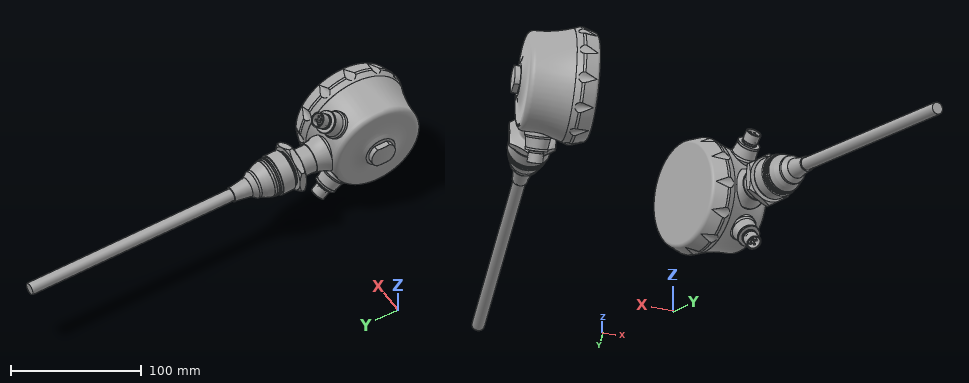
import cadquery as cq
import math


back_x = -19.3
back_flat_radius = 34.0
back_fillet = 4.7
body_radius = back_flat_radius + back_fillet
body_start_x = back_x + back_fillet
seam_x = 15.1
seam_radius = 43.75

seat_foot_radius = 25.6
seat_top_radius = 12.9
seat_top_x = -22.7
seat_ring_radius = 16.1
seat_ring_x = -21.2
button_radius = 10.6
button_flat_half_width = 9.1
button_rim_x = -27.1
button_crown_x = -28.05

lid_peak_radius = 45.5
lid_peak_start_x = 20.2
lid_peak_end_x = 22.3
lid_edge_x = 31.8
lid_edge_radius = 42.3
lid_end_x = 34.0
lid_slope = math.atan2(lid_peak_radius - lid_edge_radius, lid_edge_x - lid_peak_end_x)
lid_end_fillet = (lid_end_x - lid_edge_x) / (1 - math.sin(lid_slope))

notch_count = 12
notch_floor_start = (17.2, 44.4)
notch_tip_lift = 0.05
notch_half_angle = 30.0
notch_length = 22.0

neck_root_y = 20.0
flare_radius = 15.7
flare_start_y = 38.3
flare_top_radius = 12.1
neck_base_radius = 11.3
neck_radius = 11.1
neck_start_y = 50.0
neck_end_y = 59.5
neck_fillet = 1.8
hex_underside_angle = 20.0
hex_start_y = 63.3
hex_end_y = 69.3
hex_across_flats = 36.0
hex_chamfer = 1.6
collar_start_y = 70.4
collar_end_y = 82.8
collar_radius = 16.5
collar_chamfer = 1.8
collar_groove_radius = 14.2
band_radius = 15.3
band_end_y = 87.5
band_groove_radius = 14.5
band_groove_start_y = 84.2
band_groove_end_y = 85.6
step_radius = 14.7
taper_points = [(15.0, 89.6), (13.2, 94.8), (11.1, 98.9), (11.1, 101.0), (7.9, 105.3)]
tip_sleeve_radius = 6.0
tip_sleeve_start_y = 117.7
tip_sleeve_end_y = 119.8
rod_radius = 5.0
rod_end_y = 300.62
rod_tip_length = 2.0
rod_tip_chamfer = 0.3

connector_x = -2.1
connector_angle = 45.0
connector_root = 30.0
connector_tip = 61.83
plug_radius = 6.0
plug_groove_end = 54.2
plug_groove_radius = 5.5
flange_start = 50.5
flange_end = 52.3
plug_groove_start = flange_end + 0.6
flange_radius = 8.9
barrel_radius = 8.6
barrel_base_radius = 9.75
barrel_start = 42.4
boss_radius = 10.8
boss_end = 40.8
socket_radius = 5.0
socket_depth = 6.0
pin_radius = 0.82
pin_circle_radius = 2.5
pin_count = 4
pin_start_angle = 45.0
pin_length = 5.0


def revolve_about_x(outline):
    """Turn a closed outline, drawn with x along the axis and y as radius, about X."""
    return outline.revolve(360, (0, 0, 0), (1, 0, 0))


def revolve_about_y(outline):
    """Turn a closed outline, drawn with x as radius and y along the axis, about Y."""
    return outline.revolve(360, (0, 0, 0), (0, 1, 0))


def make_head():
    """Bowl with a curved wall, a rounded back edge and a dished seat for the button."""
    wall_run = seam_x - body_start_x
    wall_rise = seam_radius - body_radius
    wall_arc_radius = (wall_run**2 + wall_rise**2) / (2 * wall_rise)
    mid_x = body_start_x + wall_run / 2
    mid_radius = body_radius + wall_arc_radius - math.sqrt(wall_arc_radius**2 - (wall_run / 2) ** 2)
    diagonal = back_fillet * math.sqrt(0.5)
    seat_run = seat_foot_radius - seat_ring_radius
    seat_rise = back_x - seat_ring_x
    seat_arc_radius = (seat_run**2 + seat_rise**2) / (2 * seat_rise)
    seat_mid_radius = seat_foot_radius - seat_run / 2
    seat_mid_x = back_x - seat_arc_radius + math.sqrt(seat_arc_radius**2 - (seat_run / 2) ** 2)
    outline = (
        cq.Workplane("XY")
        .moveTo(seat_top_x, 0)
        .lineTo(seat_top_x, seat_top_radius)
        .lineTo(seat_ring_x, seat_ring_radius)
        .threePointArc((seat_mid_x, seat_mid_radius), (back_x, seat_foot_radius))
        .lineTo(back_x, back_flat_radius)
        .threePointArc(
            (body_start_x - diagonal, back_flat_radius + diagonal),
            (body_start_x, body_radius),
        )
        .threePointArc((mid_x, mid_radius), (seam_x, seam_radius))
        .lineTo(seam_x, 0)
        .close()
    )
    return revolve_about_x(outline)


def make_button():
    """Domed button with two flats."""
    crown_rise = button_rim_x - button_crown_x
    crown_radius = (button_radius**2 + crown_rise**2) / (2 * crown_rise)
    mid_radius = button_radius / 2
    mid_x = button_crown_x + crown_radius - math.sqrt(crown_radius**2 - mid_radius**2)
    outline = (
        cq.Workplane("XY")
        .moveTo(back_x, 0)
        .lineTo(back_x, button_radius)
        .lineTo(button_rim_x, button_radius)
        .threePointArc((mid_x, mid_radius), (button_crown_x, 0))
        .close()
    )
    block_length = 2 * (back_x - button_crown_x)
    block = cq.Workplane("XY").box(block_length, 2 * button_radius, 2 * button_flat_half_width)
    return revolve_about_x(outline).intersect(block.translate((back_x, 0, 0)))


def make_neck_and_probe():
    """Flared neck, collar, tapered rings and the long rod."""
    fillet_sweep = math.radians(90 - hex_underside_angle)

    def fillet_point(angle):
        return (
            neck_radius + neck_fillet * (1 - math.cos(angle)),
            neck_end_y + neck_fillet * math.sin(angle),
        )

    flare_run = neck_start_y - flare_start_y
    flare_rise = flare_radius - flare_top_radius
    flare_arc = (flare_run**2 + flare_rise**2) / (2 * flare_rise)
    flare_mid_y = neck_start_y - flare_run / 2
    flare_mid_radius = flare_top_radius + flare_arc - math.sqrt(flare_arc**2 - (flare_run / 2) ** 2)
    outline = (
        cq.Workplane("XY")
        .moveTo(0, neck_root_y)
        .lineTo(flare_radius, neck_root_y)
        .lineTo(flare_radius, flare_start_y)
        .threePointArc((flare_mid_radius, flare_mid_y), (flare_top_radius, neck_start_y))
        .lineTo(neck_base_radius, neck_start_y)
        .lineTo(neck_radius, neck_end_y)
        .threePointArc(
            fillet_point(fillet_sweep / 2),
            fillet_point(fillet_sweep),
        )
        .lineTo(hex_across_flats / 2, hex_start_y)
        .lineTo(hex_across_flats / 2, hex_end_y)
        .lineTo(collar_groove_radius, hex_end_y)
        .lineTo(collar_groove_radius, collar_start_y)
        .lineTo(collar_radius - collar_chamfer, collar_start_y)
        .lineTo(collar_radius, collar_start_y + collar_chamfer)
        .lineTo(collar_radius, collar_end_y)
        .lineTo(band_radius, collar_end_y)
        .lineTo(band_radius, band_groove_start_y)
        .lineTo(band_groove_radius, band_groove_start_y)
        .lineTo(band_groove_radius, band_groove_end_y)
        .lineTo(band_radius, band_groove_end_y)
        .lineTo(band_radius, band_end_y)
        .lineTo(step_radius, band_end_y)
        .lineTo(step_radius, taper_points[0][1])
        .polyline(taper_points, includeCurrent=True)
        .lineTo(tip_sleeve_radius, tip_sleeve_start_y)
        .lineTo(tip_sleeve_radius, tip_sleeve_end_y)
        .lineTo(rod_radius, tip_sleeve_end_y)
        .lineTo(rod_radius, rod_end_y - rod_tip_length)
        .lineTo(rod_radius - rod_tip_chamfer, rod_end_y)
        .lineTo(0, rod_end_y)
        .close()
    )
    return revolve_about_y(outline)


def make_hex():
    """Hexagon with corners pointing along Z and both ends chamfered."""
    corner_radius = hex_across_flats / math.sqrt(3)
    prism = (
        cq.Workplane("XZ", origin=(0, hex_start_y, 0))
        .transformed(rotate=(0, 0, 90))
        .polygon(6, 2 * corner_radius)
        .extrude(hex_start_y - hex_end_y)
    )
    flat_radius = hex_across_flats / 2
    corner_rounding = revolve_about_y(
        cq.Workplane("XY")
        .moveTo(0, hex_start_y)
        .lineTo(flat_radius, hex_start_y)
        .lineTo(corner_radius, hex_start_y + hex_chamfer)
        .lineTo(corner_radius, hex_end_y - hex_chamfer)
        .lineTo(flat_radius, hex_end_y)
        .lineTo(0, hex_end_y)
        .close()
    )
    return prism.intersect(corner_rounding)


def make_connector(side):
    """One cable connector; side is +1 for the +Z one and -1 for the -Z one."""
    outline = (
        cq.Workplane("XY")
        .moveTo(0, connector_root)
        .lineTo(boss_radius, connector_root)
        .lineTo(boss_radius, boss_end)
        .lineTo(barrel_base_radius, barrel_start)
        .lineTo(barrel_radius, flange_start)
        .lineTo(flange_radius, flange_start)
        .lineTo(flange_radius, flange_end)
        .lineTo(plug_radius, flange_end)
        .lineTo(plug_radius, plug_groove_start)
        .lineTo(plug_groove_radius, plug_groove_start)
        .lineTo(plug_groove_radius, plug_groove_end)
        .lineTo(plug_radius, plug_groove_end)
        .lineTo(plug_radius, connector_tip)
        .lineTo(0, connector_tip)
        .close()
    )
    socket_floor = connector_tip - socket_depth
    socket = (
        cq.Workplane("XZ", origin=(0, socket_floor, 0)).circle(socket_radius).extrude(-socket_depth)
    )
    pins = (
        cq.Workplane("XZ", origin=(0, socket_floor, 0))
        .polarArray(pin_circle_radius, pin_start_angle, 360, pin_count)
        .circle(pin_radius)
        .extrude(-pin_length)
    )
    connector = revolve_about_y(outline).cut(socket).union(pins)
    turned = connector.rotate((0, 0, 0), (1, 0, 0), side * connector_angle)
    return turned.translate((connector_x, 0, 0))


def make_notch_cutter():
    """Cone along the lid surface whose tip lies just above the lid edge at the +Y side."""
    tip = (lid_edge_x, lid_edge_radius + notch_tip_lift)
    floor_angle = math.atan2(notch_floor_start[1] - tip[1], tip[0] - notch_floor_start[0])
    axis_angle = floor_angle + math.radians(notch_half_angle)
    cone = cq.Solid.makeCone(
        0,
        notch_length * math.tan(math.radians(notch_half_angle)),
        notch_length,
        pnt=cq.Vector(tip[0], tip[1], 0),
        dir=cq.Vector(-math.cos(axis_angle), math.sin(axis_angle), 0),
    )
    return cq.Workplane(cone)


def make_lid():
    """Screw lid with a rounded outer edge and evenly spaced finger notches."""
    fillet_x = lid_edge_x - lid_end_fillet * math.sin(lid_slope)
    fillet_y = lid_edge_radius - lid_end_fillet * math.cos(lid_slope)
    mid_angle = (lid_slope + math.pi / 2) / 2
    fillet_mid_x = fillet_x + lid_end_fillet * math.sin(mid_angle)
    fillet_mid_y = fillet_y + lid_end_fillet * math.cos(mid_angle)
    outline = (
        cq.Workplane("XY")
        .moveTo(seam_x, 0)
        .lineTo(seam_x, seam_radius)
        .lineTo(lid_peak_start_x, lid_peak_radius)
        .lineTo(lid_peak_end_x, lid_peak_radius)
        .lineTo(lid_edge_x, lid_edge_radius)
        .threePointArc(
            (fillet_mid_x, fillet_mid_y),
            (lid_end_x, fillet_y),
        )
        .lineTo(lid_end_x, 0)
        .close()
    )
    half_pitch = 180 / notch_count
    shape = revolve_about_x(outline).rotate((0, 0, 0), (1, 0, 0), half_pitch)
    cutter = make_notch_cutter()
    for index in range(notch_count):
        shape = shape.cut(cutter.rotate((0, 0, 0), (1, 0, 0), 2 * index * half_pitch))
    return shape


housing = make_head().union(make_button()).union(make_neck_and_probe()).union(make_hex())
for connector_side in (1, -1):
    housing = housing.union(make_connector(connector_side))

lid = make_lid()

result = cq.Compound.makeCompound([housing.val(), lid.val()])